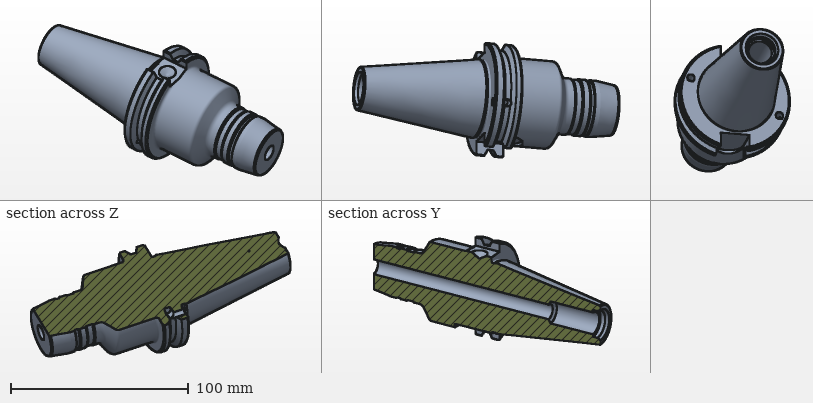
import cadquery as cq
import math

overall_length = 148.8
taper_end = 68.3
neck_start = 69.5
flange_start = 71.3
flange_end = 87.0
shoulder_corner = 112.0
nose_taper_start = 137.1

taper_large_diameter = 44.5
taper_ratio = 7 / 24
neck_diameter = 43.6
flange_diameter = 63.5
body_diameter = 49.5
nose_diameter = 32.0
nose_tip_diameter = 28.7

taper_edge = 0.5
neck_root_fillet = 0.5
flange_edge = 0.9
flange_root_fillet = 1.5
shoulder_angle = 60
shoulder_fillet = 2.1
nose_root_fillet = 3.0
nose_tip_chamfer_length = 0.9
nose_tip_chamfer_height = 0.5

groove_center = 79.6
groove_floor_diameter = 56.2
groove_floor_width = 3.3
groove_wall_angle = 30

band_diameter = 31.0
band_ramp = 0.9
first_band_start, first_band_end = 122.1, 127.3
second_band_start, second_band_end = 130.9, 134.0
second_band_ramp = 0.5

slot_width = 16.5
slot_edge_chamfer = 0.5
top_slot_height = 25.0
bottom_slot_height = 22.6
bottom_slot_end = 95.6

dimple_diameter = 9.5
dimple_tip_angle = 118

face_hole_diameter = 4.2
face_hole_pitch_radius = 27.0
radial_hole_diameter = 4.0
radial_hole_depth = 7.5
coolant_angle = 20

mouth_diameter = 18.7
counterbore_diameter = 16.4
mouth_cone_depth = 2.0
counterbore_depth = 4.9
pilot_diameter = 13.4
pilot_depth = 32.7
through_diameter = 8.9
drill_tip_angle = 118


def revolve_about_x(outline):
    """Turn a closed outline of (x, radius) around the X axis."""
    return outline.close().revolve(360, (0, 0, 0), (1, 0, 0))


def tip_length(radius_step, tip_angle):
    """Length of a conical step with the given included angle."""
    return radius_step / math.tan(math.radians(tip_angle / 2))


def make_outside():
    taper_large = taper_large_diameter / 2
    taper_small = taper_large - taper_end * taper_ratio / 2
    neck = neck_diameter / 2
    flange = flange_diameter / 2
    body = body_diameter / 2
    nose = nose_diameter / 2
    nose_tip = nose_tip_diameter / 2
    band = band_diameter / 2
    groove_floor = groove_floor_diameter / 2
    floor_half = groove_floor_width / 2
    groove_half = floor_half + (flange - groove_floor) * math.tan(math.radians(groove_wall_angle))

    slope = math.radians(shoulder_angle)
    half_slope = slope / 2
    nose_corner = shoulder_corner + (body - nose) / math.tan(slope)

    def shoulder_arc(corner_x, radius, fillet, side):
        """Tangent points and mid point of an arc at a shoulder corner (side: +1 body, -1 nose)."""
        reach = fillet * math.tan(half_slope)
        center_x = corner_x - side * reach
        center_r = radius - side * fillet
        points = [
            (center_x + side * fillet * math.sin(a), center_r + side * fillet * math.cos(a))
            for a in (0, half_slope, slope)
        ]
        return points if side > 0 else points[::-1]

    body_arc = shoulder_arc(shoulder_corner, body, shoulder_fillet, 1)
    nose_arc = shoulder_arc(nose_corner, nose, nose_root_fillet, -1)

    outline = (
        cq.Workplane("XY")
        .moveTo(0, 0)
        .lineTo(0, taper_small - taper_edge)
        .lineTo(taper_edge, taper_small + taper_edge * taper_ratio / 2)
        .lineTo(taper_end, taper_large)
        .lineTo(neck_start, neck)
        .lineTo(flange_start - neck_root_fillet, neck)
        .radiusArc((flange_start, neck + neck_root_fillet), -neck_root_fillet)
        .lineTo(flange_start, flange - flange_edge)
        .lineTo(flange_start + flange_edge, flange)
        .lineTo(groove_center - groove_half, flange)
        .lineTo(groove_center - floor_half, groove_floor)
        .lineTo(groove_center + floor_half, groove_floor)
        .lineTo(groove_center + groove_half, flange)
        .lineTo(flange_end - flange_edge, flange)
        .lineTo(flange_end, flange - flange_edge)
        .lineTo(flange_end, body + flange_root_fillet)
        .radiusArc((flange_end + flange_root_fillet, body), -flange_root_fillet)
        .lineTo(*body_arc[0])
        .threePointArc(body_arc[1], body_arc[2])
        .lineTo(*nose_arc[0])
        .threePointArc(nose_arc[1], nose_arc[2])
        .lineTo(first_band_start, nose)
        .lineTo(first_band_start + band_ramp, band)
        .lineTo(first_band_end - band_ramp, band)
        .lineTo(first_band_end, nose)
        .lineTo(second_band_start, nose)
        .lineTo(second_band_start + band_ramp, band)
        .lineTo(second_band_end - second_band_ramp, band)
        .lineTo(second_band_end, nose)
        .lineTo(nose_taper_start, nose)
        .lineTo(overall_length - nose_tip_chamfer_length, nose_tip)
        .lineTo(overall_length, nose_tip - nose_tip_chamfer_height)
        .lineTo(overall_length, 0)
    )
    return revolve_about_x(outline)


def make_bore():
    counterbore = counterbore_diameter / 2
    pilot = pilot_diameter / 2
    through = through_diameter / 2
    outline = (
        cq.Workplane("XY")
        .moveTo(0, 0)
        .lineTo(0, mouth_diameter / 2)
        .lineTo(mouth_cone_depth, counterbore)
        .lineTo(counterbore_depth, counterbore)
        .lineTo(counterbore_depth, pilot)
        .lineTo(pilot_depth, pilot)
        .lineTo(pilot_depth + tip_length(pilot - through, drill_tip_angle), through)
        .lineTo(overall_length, through)
        .lineTo(overall_length, 0)
    )
    return revolve_about_x(outline)


def make_top_slot():
    """Straight slot over the flange width, just clear of the body."""
    return cq.Workplane("XY", origin=(flange_start, 0, top_slot_height)).box(
        flange_end + flange_root_fillet - flange_start, slot_width, flange_diameter,
        centered=(False, True, False),
    )


def make_bottom_slot():
    """Deeper slot that runs out into the body with a round end."""
    half = slot_width / 2
    return (
        cq.Workplane("XY", origin=(0, 0, -bottom_slot_height))
        .moveTo(flange_start, half)
        .lineTo(bottom_slot_end - half, half)
        .threePointArc((bottom_slot_end, 0), (bottom_slot_end - half, -half))
        .lineTo(flange_start, -half)
        .close()
        .extrude(-flange_diameter)
    )


def make_dimple():
    radius = dimple_diameter / 2
    depth = tip_length(radius, dimple_tip_angle)
    cone = cq.Solid.makeCone(
        radius, 0, depth, cq.Vector(groove_center, 0, top_slot_height), cq.Vector(0, 0, -1)
    )
    return cq.Workplane(cone)


def make_coolant_holes():
    """Face hole and radial hole meeting under the V-groove, and the same pair half a turn away."""
    face_start = cq.Vector(flange_start, face_hole_pitch_radius, 0)
    face_length = groove_center - flange_start
    face_hole = cq.Solid.makeCylinder(face_hole_diameter / 2, face_length, face_start, cq.Vector(1, 0, 0))

    radial_start = cq.Vector(groove_center, groove_floor_diameter / 2 - radial_hole_depth, 0)
    radial_length = flange_diameter / 2 - radial_start.y
    radial_hole = cq.Solid.makeCylinder(
        radial_hole_diameter / 2, radial_length, radial_start, cq.Vector(0, 1, 0)
    )

    pair = cq.Workplane(face_hole).union(cq.Workplane(radial_hole))
    pair = pair.rotate((0, 0, 0), (1, 0, 0), coolant_angle)
    return pair.union(pair.rotate((0, 0, 0), (1, 0, 0), 180))


def make_slot_chamfers():
    """Bevels where the four slot walls meet the rim of the flange."""
    half = slot_width / 2
    rim_height = math.sqrt((flange_diameter / 2) ** 2 - (half + slot_edge_chamfer) ** 2)
    bevel = (
        cq.Workplane("YZ", origin=(flange_start, 0, 0))
        .moveTo(0, rim_height - slot_edge_chamfer)
        .lineTo(half, rim_height - slot_edge_chamfer)
        .lineTo(half + slot_edge_chamfer, rim_height)
        .lineTo(half + slot_edge_chamfer, flange_diameter / 2)
        .lineTo(0, flange_diameter / 2)
        .close()
        .extrude(flange_end - flange_start)
    )
    bevel = bevel.union(bevel.mirror("XZ"))
    return bevel.union(bevel.mirror("XY"))


cutters = (
    make_bore(),
    make_top_slot(),
    make_bottom_slot(),
    make_slot_chamfers(),
    make_dimple(),
    make_coolant_holes(),
)

result = make_outside()
for cutter in cutters:
    result = result.cut(cutter)